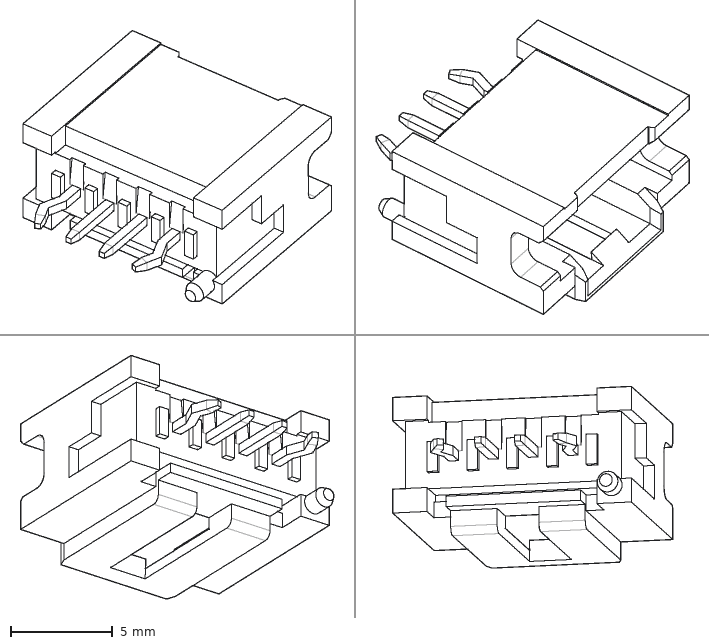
import cadquery as cq
import math


width = 12.0
depth = 9.25
height = 5.8
rail_width = 1.73
top_drop = 0.09
rail_z_low = 1.2
rail_z_high = 4.62
wall_y = 0.32
step_y = 1.16
ledge_z = 4.53
core_width = width - 2 * rail_width

back_wall_y = 3.23
side_wall = 1.42
notch_depth = 1.96
notch_z_low = 1.72
notch_z_high = 4.57
notch_radius = 0.58
notch_chamfer_low = 0.18
notch_chamfer_high = 0.27
top_notch_depth = 0.32
top_notch_half = 3.02
top_notch_flare = 0.17
top_notch_straight = 0.08
cavity_width = width - 2 * side_wall

recess_depth = 0.57
recess_step_z = 2.89
recess_y_short = 3.32
recess_y_long = 5.19

tongue_half = 3.38
tongue_drop = 0.9
tongue_front_y = 1.34
tongue_fillet = 0.39
bar_z = 0.79
plate_y = 1.55
groove_y = 1.94
lip_length = 0.5
lip_taper = 0.18
lip_z_body = 0.71
lip_z_tip = 0.39
key_half = 2.78
key_flare = 0.22
key_floor_z = -0.35
slot_half = 1.05
slot_z = 0.27
latch_z = 0.14
latch_undercut = 0.09
lip_y = depth + lip_length
lead_slope = (lip_z_body - lip_z_tip) / lip_length

pitch = 2.0
pin_count = 4
pin_size = 0.49
pin_z = 2.79
pin_reach = 3.16
tip_length = 0.6
tip_size = 0.31
knee_y = -0.84
elbow_y = -1.85
bend_angle = math.radians(22)
channel_width = 0.81
channel_depth = 0.2
channel_z = pin_z + pin_size / 2
nub_width = 0.53
nub_height = 1.5
nub_z = 2.75
peg_x = 5.02
peg_z = 0.88
peg_diameter = 1.03
peg_tip_diameter = 0.63
peg_shoulder_y = -0.93
peg_tip_y = -1.3


def block(x0, x1, y0, y1, z0, z1):
    return cq.Workplane("XY").box(x1 - x0, y1 - y0, z1 - z0, centered=False).translate((x0, y0, z0))


def centred_block(full_width, y0, y1, z0, z1):
    return block(-full_width / 2, full_width / 2, y0, y1, z0, z1)


def side_profile(points, full_width, x_middle=0):
    """Prism along X from a (y, z) outline."""
    prism = cq.Workplane("YZ").polyline(points).close().extrude(full_width / 2, both=True)
    return prism.translate((x_middle, 0, 0))


def plan_profile(points, z0, z1):
    """Prism along Z from an (x, y) outline."""
    return cq.Workplane("XY").workplane(offset=z0).polyline(points).close().extrude(z1 - z0)


def body_shell():
    body = centred_block(width, 0, depth, 0, height)
    body = body.cut(centred_block(width, 0, wall_y, rail_z_low, rail_z_high))
    body = body.cut(centred_block(core_width, 0, wall_y, 0, height))
    body = body.cut(centred_block(core_width, 0, step_y, ledge_z, height))
    body = body.cut(centred_block(core_width, 0, depth, height - top_drop, height))
    body = body.cut(centred_block(core_width, 0, plate_y, 0, rail_z_low))
    body = body.cut(centred_block(core_width, 0, groove_y, bar_z, rail_z_low))
    return body


def side_recess(side):
    outline = [
        (wall_y, rail_z_low),
        (recess_y_long, rail_z_low),
        (recess_y_long, recess_step_z),
        (recess_y_short, recess_step_z),
        (recess_y_short, rail_z_high),
        (wall_y, rail_z_high),
    ]
    return side_profile(outline, recess_depth, side * (width - recess_depth) / 2)


def side_notch():
    notch_y = depth - notch_depth
    notch = centred_block(width, notch_y, depth, notch_z_low, notch_z_high)
    notch = notch.edges("|X and <Y").fillet(notch_radius)
    for corner_z, out, size in ((notch_z_low, -1, notch_chamfer_low), (notch_z_high, 1, notch_chamfer_high)):
        corner = [(depth - size, corner_z), (depth, corner_z), (depth, corner_z + out * size)]
        notch = notch.union(side_profile(corner, width))
    return notch


def top_notch():
    inner_y = depth - top_notch_depth
    mouth_half = top_notch_half + top_notch_flare
    outline = [
        (-top_notch_half, inner_y),
        (top_notch_half, inner_y),
        (top_notch_half, inner_y + top_notch_straight),
        (mouth_half, depth),
        (-mouth_half, depth),
        (-top_notch_half, inner_y + top_notch_straight),
    ]
    return plan_profile(outline, notch_z_high, height)


def tongue():
    under = centred_block(2 * tongue_half, tongue_front_y, depth, -tongue_drop, bar_z)
    under = under.edges("|X and <Y and <Z").fillet(tongue_fillet)
    bar = centred_block(2 * tongue_half, wall_y, groove_y, slot_z, bar_z)
    tip_half = tongue_half - lip_taper
    plan = [(-tongue_half, depth), (tongue_half, depth), (tip_half, lip_y), (-tip_half, lip_y)]
    lip = plan_profile(plan, -tongue_drop, lip_z_body)
    return under.union(bar).union(lip)


def lip_lead_in():
    """Sloped mouth running from the lip tip up to the cavity floor."""
    floor_y = depth - (rail_z_low - lip_z_body) / lead_slope
    outline = [(floor_y, rail_z_low), (lip_y, lip_z_tip), (lip_y, rail_z_low)]
    return side_profile(outline, 2 * tongue_half)


def key_cavity():
    """Lower keyway with a flared, sloping mouth."""
    mouth_half = key_half + key_flare
    plan = [
        (-key_half, back_wall_y),
        (key_half, back_wall_y),
        (key_half, depth),
        (mouth_half, lip_y),
        (-mouth_half, lip_y),
        (-key_half, depth),
    ]
    keyway = plan_profile(plan, -tongue_drop, rail_z_low)
    ramp_z = key_floor_z - lead_slope * lip_length
    section = [
        (back_wall_y, key_floor_z),
        (depth, key_floor_z),
        (lip_y, ramp_z),
        (lip_y, rail_z_low),
        (back_wall_y, rail_z_low),
    ]
    return keyway.intersect(side_profile(section, width))


def latch():
    """Ridge continuing the mouth slope upward, with a slightly undercut catch face."""
    ridge_y = depth - (latch_z - key_floor_z) / lead_slope
    outline = [
        (ridge_y, latch_z),
        (depth, key_floor_z),
        (depth, -tongue_drop),
        (ridge_y + latch_undercut, -tongue_drop),
    ]
    return side_profile(outline, 2 * slot_half)


def latch_slot():
    return centred_block(2 * slot_half, tongue_front_y, depth, -tongue_drop, slot_z)


def pin_channel(x):
    outline = [(wall_y, channel_z), (wall_y + channel_depth, ledge_z), (wall_y, ledge_z)]
    return side_profile(outline, channel_width, x)


def pin_tip(x, y, lean):
    """Tapered end starting at (x, y) and heading toward -Y, leaning toward +X by the given angle."""
    plane = cq.Plane(
        origin=(x, y, pin_z),
        xDir=(math.cos(lean), math.sin(lean), 0),
        normal=(math.sin(lean), -math.cos(lean), 0),
    )
    start = cq.Workplane(plane).rect(pin_size, pin_size)
    return start.workplane(offset=tip_length).rect(tip_size, tip_size).loft(combine=True)


def straight_pin(x):
    tip_y = tip_length - pin_reach
    half = pin_size / 2
    shank = block(x - half, x + half, tip_y, back_wall_y, pin_z - half, pin_z + half)
    return shank.union(pin_tip(x, tip_y, 0))


def bent_pin(x, side):
    """Retention pin: bows outward to an elbow, then leans back in."""
    half = pin_size / 2
    cos_bend = math.cos(bend_angle)
    sin_bend = math.sin(bend_angle)
    knee_shift = half * math.tan(bend_angle / 2)
    elbow_half = half / cos_bend
    elbow_x = (knee_y - elbow_y) * math.tan(bend_angle)
    end_y = -pin_reach + tip_length * cos_bend + tip_size / 2 * sin_bend
    end_x = elbow_x - (elbow_y - end_y) * math.tan(bend_angle)
    outline = [
        (-half, back_wall_y),
        (-half, knee_y - knee_shift),
        (elbow_x - elbow_half, elbow_y),
        (end_x - half * cos_bend, end_y + half * sin_bend),
        (end_x + half * cos_bend, end_y - half * sin_bend),
        (elbow_x + elbow_half, elbow_y),
        (half, knee_y + knee_shift),
        (half, back_wall_y),
    ]
    pin = plan_profile(outline, pin_z - half, pin_z + half)
    pin = pin.union(pin_tip(end_x, end_y, -bend_angle))
    if side < 0:
        pin = pin.mirror("YZ")
    return pin.translate((x, 0, 0))


def locating_peg():
    shoulder = peg_diameter / 2
    outline = [
        (0, wall_y),
        (shoulder, wall_y),
        (shoulder, peg_shoulder_y),
        (peg_tip_diameter / 2, peg_tip_y),
        (0, peg_tip_y),
    ]
    peg = cq.Workplane("XY").polyline(outline).close().revolve(360, (0, 0, 0), (0, 1, 0))
    return peg.translate((peg_x, 0, peg_z))


result = body_shell().union(tongue())
for side in (-1, 1):
    result = result.cut(side_recess(side))
result = result.cut(centred_block(cavity_width, back_wall_y, depth, rail_z_low, notch_z_high))
result = result.cut(side_notch()).cut(top_notch())
result = result.cut(lip_lead_in()).cut(key_cavity()).cut(latch_slot())
result = result.union(latch())

for i in range(pin_count + 1):
    nub_x = (i - pin_count / 2) * pitch
    nub = centred_block(nub_width, 0, wall_y, nub_z - nub_height / 2, nub_z + nub_height / 2)
    result = result.union(nub.translate((nub_x, 0, 0)))

for i in range(pin_count):
    pin_x = (i - (pin_count - 1) / 2) * pitch
    result = result.cut(pin_channel(pin_x))
    if i in (0, pin_count - 1):
        result = result.union(bent_pin(pin_x, math.copysign(1, pin_x)))
    else:
        result = result.union(straight_pin(pin_x))

result = result.union(locating_peg())